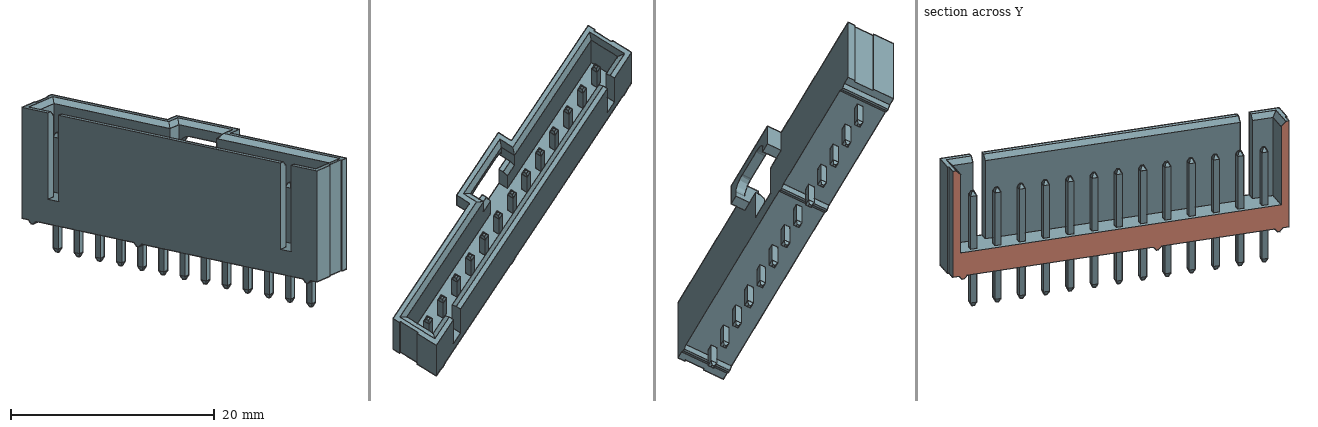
import cadquery as cq

length = 35.48
depth = 5.07
height = 11.45
floor_height = 2.55
rim = 0.5
lead_in = 0.5
wall = rim + lead_in

groove_depth = 0.15
groove_front = 2.25
groove_back = 4.3

slot_width = 1.28
slot_inset = 3.12

key_width = 7.6
key_depth = 1.53
key_height = 3.73
key_inner_width = key_width - 2 * wall
bridge_height = 1.5
window_fillet = 1.35
gap_width = 3.05

pin_count = 13
pin_row_length = 30.48
pitch = pin_row_length / (pin_count - 1)
pin_size = 0.65
pin_y = 2.55
pin_below = 3.65
pin_above_floor = 6.1
tip_length = 0.43
tip_size = 0.25

rib_height = 0.35
rib_width = 0.92
rib_tip_width = 0.2
rib_pitch_offsets = (-6.5, -1.5, 6.5)


def block(width, y_front, y_back, z_bottom, z_top, x_center=0.0):
    """Box centred on x_center between the given Y and Z limits."""
    size_y = y_back - y_front
    size_z = z_top - z_bottom
    box = cq.Workplane("XY").box(width, size_y, size_z, centered=(True, False, False))
    return box.translate((x_center, y_front, z_bottom))


def frustum(width, y_front, y_back, z_bottom, z_top, growth):
    """Rectangular prism whose top edges stand out from its bottom edges by growth."""
    size_y = y_back - y_front
    return (
        cq.Workplane("XY", origin=(0, (y_front + y_back) / 2, z_bottom))
        .rect(width, size_y)
        .workplane(offset=z_top - z_bottom)
        .rect(width + 2 * growth, size_y + 2 * growth)
        .loft(ruled=True)
    )


def make_cavity():
    """Main pocket with its sloped lead-in."""
    width = length - 2 * wall
    pocket = block(width, wall, depth - wall, floor_height, height)
    slope = frustum(width, wall, depth - wall, height - lead_in, height, lead_in)
    return pocket.union(slope)


def make_key_cavity():
    """Opening through the rear wall into the key housing, with a sloped lead-in."""
    y_front = depth / 2
    y_back = depth + key_depth - wall
    z_bottom = height - key_height
    pocket = block(key_inner_width, y_front, y_back, z_bottom, height)
    slope = frustum(key_inner_width, y_front, y_back, height - lead_in, height, lead_in)
    rear_part = block(key_width, depth - wall, depth + key_depth, z_bottom, height)
    return pocket.union(slope.intersect(rear_part))


def make_ledge_slope():
    """Sloped front edge on the low rear wall left below the key opening."""
    ledge_top = height - key_height
    inner_face = depth - wall
    return (
        cq.Workplane("YZ")
        .polyline([
            (inner_face, ledge_top - lead_in),
            (inner_face + lead_in, ledge_top),
            (inner_face, ledge_top),
        ])
        .close()
        .extrude(key_inner_width / 2, both=True)
    )


def make_key_window():
    """Opening in the back of the key housing, below its bridge, with rounded top corners."""
    window = block(
        key_inner_width, depth, depth + key_depth, height - key_height, height - bridge_height
    )
    return window.edges("|Y and >Z").fillet(window_fillet)


def make_pin(x):
    """Square pin tapered at both ends."""
    bottom = -pin_below
    top = floor_height + pin_above_floor
    taper = (pin_size - tip_size) / 2
    half = pin_size / 2
    shaft = block(pin_size, pin_y - half, pin_y + half, bottom + tip_length, top - tip_length)
    lower_tip = frustum(
        tip_size, pin_y - tip_size / 2, pin_y + tip_size / 2, bottom, bottom + tip_length, taper
    )
    upper_tip = frustum(pin_size, pin_y - half, pin_y + half, top - tip_length, top, -taper)
    return shaft.union(lower_tip).union(upper_tip).translate((x, 0, 0))


def make_rib(x):
    """Tapered standoff rib running from the front face to the rear face."""
    return (
        cq.Workplane("XZ")
        .polyline([
            (x - rib_width / 2, 0),
            (x + rib_width / 2, 0),
            (x + rib_tip_width / 2, -rib_height),
            (x - rib_tip_width / 2, -rib_height),
        ])
        .close()
        .extrude(-depth)
    )


housing = block(length, 0, depth, 0, height)
housing = housing.union(block(key_width, 0, depth + key_depth, height - key_height, height))
housing = housing.cut(make_cavity())
housing = housing.cut(make_key_cavity())
housing = housing.cut(make_key_window())
housing = housing.cut(make_ledge_slope())
housing = housing.cut(block(gap_width, depth - wall, depth, floor_height, height - key_height))

for side in (-1, 1):
    slot_x = side * (length / 2 - slot_inset - slot_width / 2)
    housing = housing.cut(block(slot_width, 0, wall, floor_height, height, slot_x))
    groove_x = side * (length - groove_depth) / 2
    housing = housing.cut(block(groove_depth, groove_front, groove_back, 0, height, groove_x))

for offset in rib_pitch_offsets:
    housing = housing.union(make_rib(offset * pitch))

for index in range(pin_count):
    housing = housing.union(make_pin(index * pitch - pin_row_length / 2))

result = housing